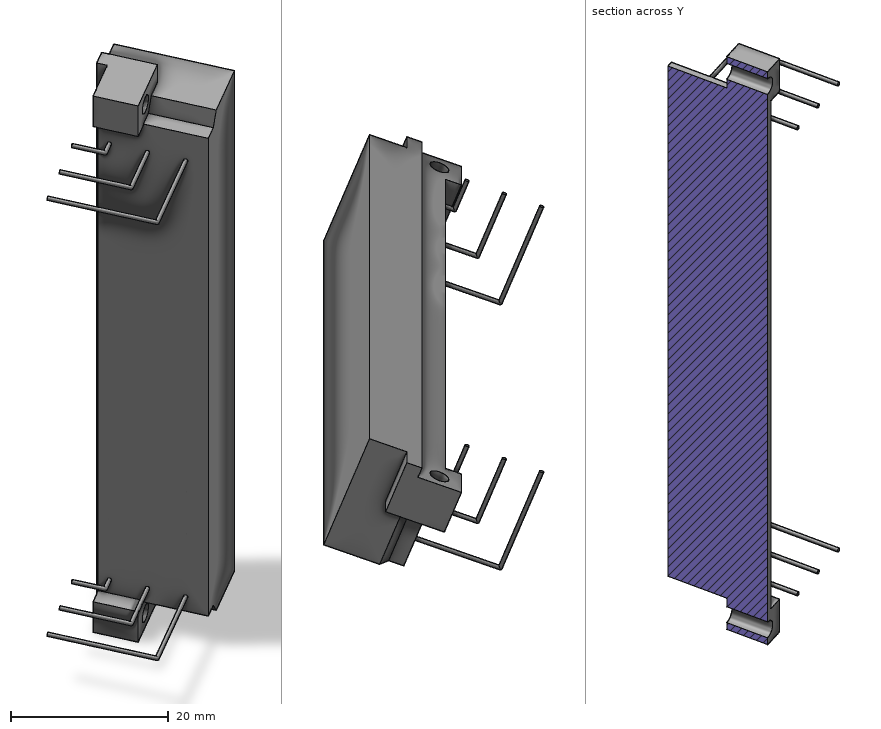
import cadquery as cq


total_length = 94.0
body_length = 87.7
body_depth = 16.1
body_back_y = 0.0
body_front_y = -10.9

step_start_y = -7.6
step_end_y = -8.8
step_drop = 2.0

ear_depth = 7.4
ear_height = 5.4
ear_back_y = -5.1
ear_front_y = -13.1

relief_depth = 1.4
relief_start_y = -7.1

hole_diameter = 2.5
hole_y = -10.1
hole_end_distance = 2.4

wire_diameter = 0.6
wire_pitch = 5.1
wire_rows_z = (37.1, -39.3)
wires_per_row = 3
first_leg_x = 2.9
first_tail_y = -12.7
tail_end_x = -1.5
wire_embedding = 0.9


def make_body():
    half = body_length / 2
    step_half = half - step_drop
    return (
        cq.Workplane("YZ")
        .polyline([
            (body_back_y, -half),
            (step_start_y, -half),
            (step_end_y, -step_half),
            (body_front_y, -step_half),
            (body_front_y, step_half),
            (step_end_y, step_half),
            (step_start_y, half),
            (body_back_y, half),
        ])
        .close()
        .extrude(body_depth)
    )


def front_block(depth, back_y, length):
    """Block on the seating face, from the ear front back to back_y, centered in Z."""
    width = back_y - ear_front_y
    block = cq.Workplane("XY").box(depth, width, length, centered=(False, False, True))
    return block.translate((0, ear_front_y, 0))


def make_ears():
    """Full-length flange, cut back to the housing front between the two ears."""
    flange = front_block(ear_depth, ear_back_y, total_length)
    gap = front_block(ear_depth, body_front_y, total_length - 2 * ear_height)
    return flange.cut(gap)


def make_relief():
    return front_block(relief_depth, relief_start_y, total_length)


def make_holes():
    hole_z = total_length / 2 - hole_end_distance
    return (
        cq.Workplane("YZ")
        .pushPoints([(hole_y, hole_z), (hole_y, -hole_z)])
        .circle(hole_diameter / 2)
        .extrude(ear_depth)
    )


def make_wire(leg_x, tail_y, z):
    """Leg leaving the housing toward -Y, then a tail toward -X, with a round elbow."""
    radius = wire_diameter / 2
    elbow = cq.Vector(leg_x, tail_y, z)
    leg_length = body_front_y + wire_embedding - tail_y
    leg = cq.Solid.makeCylinder(radius, leg_length, elbow, cq.Vector(0, 1, 0))
    tail = cq.Solid.makeCylinder(radius, leg_x - tail_end_x, elbow, cq.Vector(-1, 0, 0))
    ball = cq.Workplane("XY").sphere(radius).translate((leg_x, tail_y, z))
    return ball.union(cq.Workplane(leg)).union(cq.Workplane(tail))


result = make_body().union(make_ears()).cut(make_relief()).cut(make_holes())
for row_z in wire_rows_z:
    for index in range(wires_per_row):
        offset = index * wire_pitch
        result = result.union(make_wire(first_leg_x + offset, first_tail_y - offset, row_z))